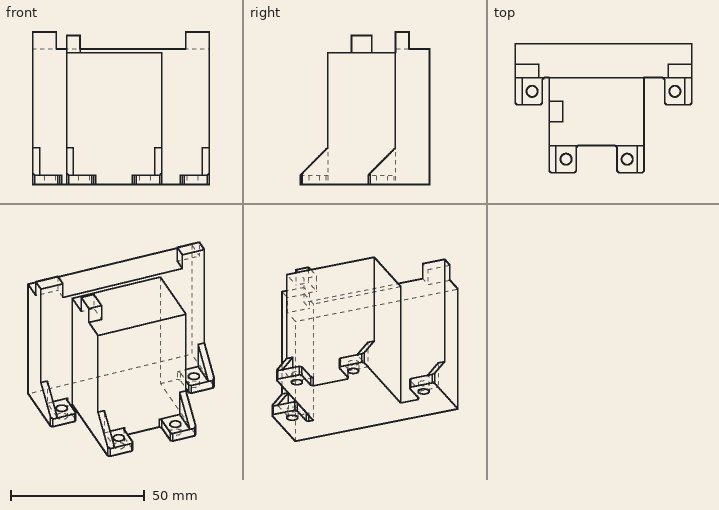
import cadquery as cq

plate_width = 66.05
plate_depth = 12.75
plate_height = 50.8
overall_height = 57.1
post_width = 8.9
post_depth = 5.1

block_left = -20.35
block_width = 35.5
block_depth = 25.35
block_height = 49.3
block_right = block_left + block_width

peg_width = 5.1
peg_depth = 7.6
peg_front_setback = 8.9
peg_top = 55.75

foot_size = 10.2
foot_thickness = 3.55
rib_width = 2.6
rib_height = 13.8
corner_chamfer = 0.7
hole_diameter = 4.1
hole_side_offset = 6.35
hole_front_offset = 5.1


def box(x, y, z, width, depth, height):
    """Box placed by its minimum corner."""
    return cq.Workplane("XY").box(width, depth, height, centered=False).translate((x, y, z))


def make_foot():
    """Left-hand foot: outer edge on X = 0, attached to a wall at Y = 0."""
    pad_outline = [
        (0, 0),
        (0, corner_chamfer - foot_size),
        (corner_chamfer, -foot_size),
        (foot_size - corner_chamfer, -foot_size),
        (foot_size, corner_chamfer - foot_size),
        (foot_size, -corner_chamfer),
        (foot_size + corner_chamfer, 0),
    ]
    pad = cq.Workplane("XY").polyline(pad_outline).close().extrude(foot_thickness)

    rib_outline = [(0, 0), (-foot_size, 0), (-foot_size, foot_thickness), (0, rib_height)]
    rib = cq.Workplane("YZ").polyline(rib_outline).close().extrude(rib_width)
    corner_limit = cq.Workplane("XY").polyline(pad_outline).close().extrude(rib_height)

    hole = (
        cq.Workplane("XY")
        .center(hole_side_offset, -hole_front_offset)
        .circle(hole_diameter / 2)
        .extrude(foot_thickness)
    )
    return pad.union(rib.intersect(corner_limit)).cut(hole)


def add_foot_pair(body, left, right, wall_y):
    """Add mirrored feet at both ends of a wall."""
    left_foot = make_foot()
    right_foot = left_foot.mirror("YZ")
    body = body.union(left_foot.translate((left, wall_y, 0)))
    return body.union(right_foot.translate((right, wall_y, 0)))


plate_left = -plate_width / 2
plate_right = plate_width / 2
body = box(plate_left, 0, 0, plate_width, plate_depth, plate_height)
for post_left in (plate_left, plate_right - post_width):
    body = body.union(box(post_left, 0, 0, post_width, post_depth, overall_height))

body = body.union(box(block_left, -block_depth, 0, block_width, block_depth, block_height))
peg_front = peg_front_setback - block_depth
body = body.union(box(block_left, peg_front, 0, peg_width, peg_depth, peg_top))

body = add_foot_pair(body, plate_left, plate_right, 0)
body = add_foot_pair(body, block_left, block_right, -block_depth)

result = body.clean()